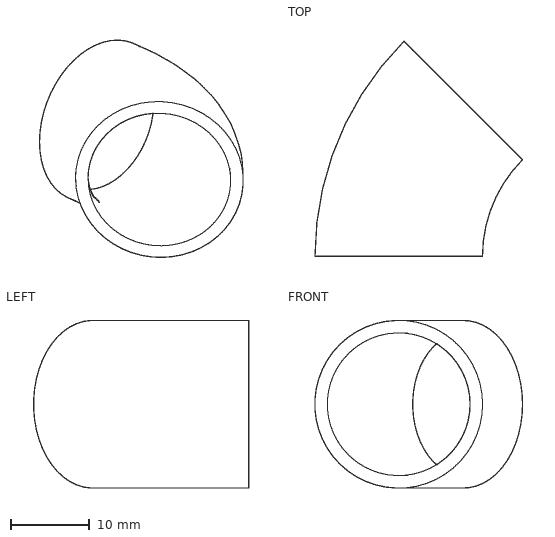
import cadquery as cq

outer_diameter = 21.3
wall_thickness = 1.6
bend_radius = 28.0
bend_angle = 45.0

inner_diameter = outer_diameter - 2 * wall_thickness


def make_elbow():
    """Revolve the ring-shaped end face about the bend axis, parallel to Z at X = bend_radius."""
    end_face = (
        cq.Workplane("XZ")
        .circle(outer_diameter / 2)
        .circle(inner_diameter / 2)
    )
    return end_face.revolve(bend_angle, (bend_radius, 0), (bend_radius, -1))


result = make_elbow()